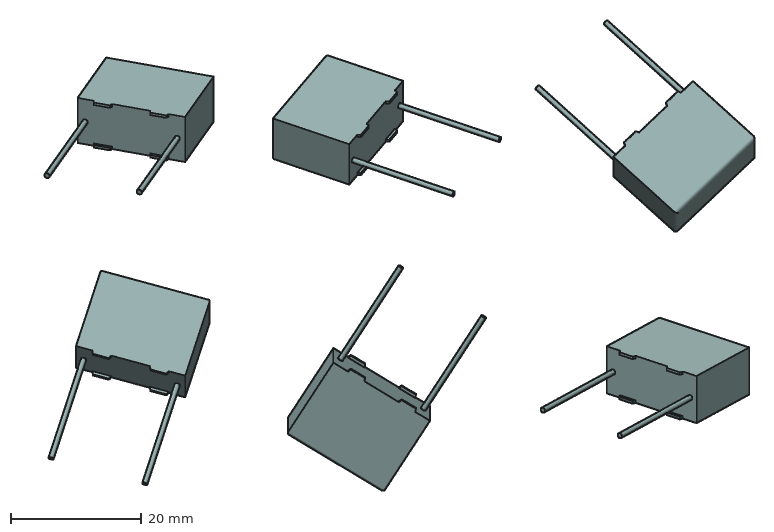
import cadquery as cq

case_width = 17.5
case_height = 13.5
case_thickness = 8.0
rear_edge_radius = 0.5

foot_height = 0.5
foot_thickness = 0.45
foot_root_width = 3.0
foot_taper = 0.2
foot_offset = 4.6

lead_diameter = 0.85
lead_pitch = 15.0
lead_length = 17.5

SIDES = (-1, 1)


def make_foot(x_side, z_side):
    """One trapezoidal foot, rooted on the -Y face at y = 0."""
    root_half = foot_root_width / 2
    tip_half = root_half - foot_taper
    x_center = x_side * foot_offset
    z_base = case_thickness / 2 - foot_thickness if z_side > 0 else -case_thickness / 2
    return (
        cq.Workplane("XY", origin=(x_center, 0, z_base))
        .moveTo(-root_half, 0)
        .lineTo(-tip_half, -foot_height)
        .lineTo(tip_half, -foot_height)
        .lineTo(root_half, 0)
        .close()
        .extrude(foot_thickness)
    )


def make_case():
    """Box with rounded rear edges and four feet."""
    body = (
        cq.Workplane("XY")
        .box(case_width, case_height, case_thickness, centered=(True, False, True))
        .faces(">Y")
        .edges()
        .fillet(rear_edge_radius)
    )
    for x_side in SIDES:
        for z_side in SIDES:
            body = body.union(make_foot(x_side, z_side))
    return body


def make_lead(x_side):
    """Straight round wire running from the -Y face of the case."""
    return (
        cq.Workplane("XZ", origin=(x_side * lead_pitch / 2, 0, 0))
        .circle(lead_diameter / 2)
        .extrude(lead_length)
    )


case = make_case()
leads = [make_lead(x_side) for x_side in SIDES]

result = cq.Compound.makeCompound([case.val(), *[lead.val() for lead in leads]])